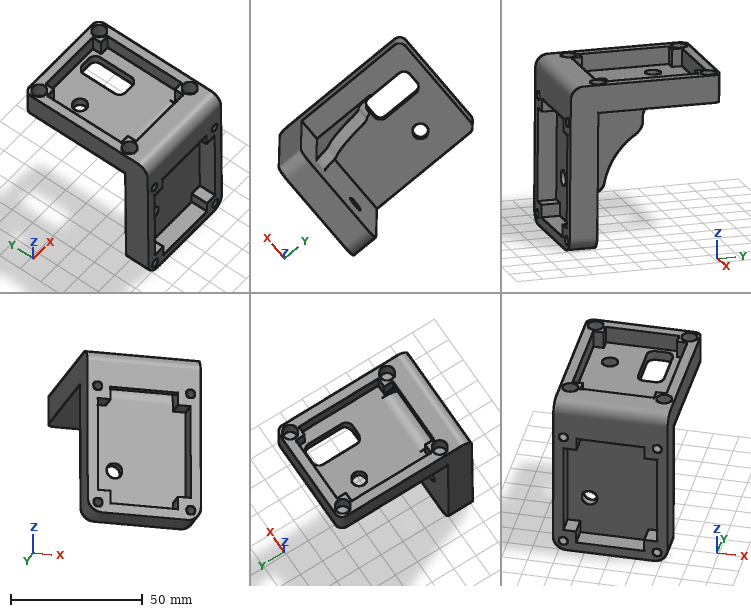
import cadquery as cq
import math


WIDTH = 44.54
TOP_LENGTH = 60.0
FRONT_HEIGHT = 66.0
THICKNESS = 11.0
TILT_ANGLE = -0.46
OUTER_BEND_RADIUS = 5.0
TOP_CORNER_RADIUS = 3.0
FRONT_CORNER_RADIUS = 5.5

BORDER = 4.0
POCKET_WIDTH = 36.5
TOP_POCKET_LENGTH = 44.0
TOP_POCKET_DEPTH = 7.0
TOP_POST = 4.0
TOP_SCREW_DIAMETER = 6.0
FRONT_POCKET_HEIGHT = 47.0
FRONT_POCKET_DEPTH = 7.5
FRONT_POST = 5.0
FRONT_SCREW_DIAMETER = 3.45
TOP_POCKET_Y = TOP_LENGTH - BORDER - TOP_POCKET_LENGTH / 2
FRONT_POCKET_Z = -FRONT_HEIGHT + BORDER + FRONT_POCKET_HEIGHT / 2

CABLE_HOLE_DIAMETER = 6.0
CABLE_HOLE_X = -9.75
TOP_CABLE_HOLE_Y = 43.0
FRONT_CABLE_HOLE_Z = -46.0
SLOT_WIDTH = 10.0
SLOT_LENGTH = 21.0
SLOT_CORNER_RADIUS = 3.0
SLOT_X = 7.75
SLOT_Y = 43.7

DUCT_INNER_RADIUS = 10.0
DUCT_OUTER_RADIUS = 15.0
DUCT_WIDTH = POCKET_WIDTH - 2 * FRONT_POST

RIB_THICKNESS = 5.0
RIB_X_MAX = DUCT_WIDTH / 2
RIB_EMBED = 0.5
RIB_TIP_RADIUS = 6.0
RIB_NOSE_Y = 31.7
RIB_NOSE_END_Z = -19.6
RIB_SHOULDER = (28.2, -24.1)
RIB_SHOULDER_MID = (30.5, -22.1)
RIB_HOLLOW_MID = (21.2, -31.0)
RIB_HOLLOW_END = (16.5, -42.3)
RIB_KNEE_MID = (15.5, -44.1)
RIB_KNEE_END = (14.0, -45.3)
RIB_TAIL_MID = (12.2, -47.1)
RIB_TAIL_Z = -49.7


def box_between(x_range, y_range, z_range):
    """Axis-aligned box given by its limits along each axis."""
    size = [high - low for low, high in (x_range, y_range, z_range)]
    corner = (x_range[0], y_range[0], z_range[0])
    return cq.Workplane("XY").box(*size, centered=False).translate(corner)


def make_plates():
    """The two solid plates with the rounded bend and rounded free corners."""
    half_width = WIDTH / 2
    x_range = (-half_width, half_width)
    top = box_between(x_range, (0, TOP_LENGTH), (-THICKNESS, 0))
    top = top.edges("|Z and >Y").fillet(TOP_CORNER_RADIUS)
    front = box_between(x_range, (0, THICKNESS), (-FRONT_HEIGHT, 0))
    front = front.edges("|Y and <Z").fillet(FRONT_CORNER_RADIUS)
    plates = top.union(front)
    outer_bend = cq.selectors.NearestToPointSelector((0, 0, 0))
    return plates.edges(outer_bend).fillet(OUTER_BEND_RADIUS)


def make_rib():
    """Scrolled rib: a rounded tip, a nose, a long hollow, a knee and a tail."""
    tip_y = RIB_NOSE_Y + RIB_TIP_RADIUS
    tip_z = -THICKNESS - RIB_TIP_RADIUS
    arc_reach = RIB_TIP_RADIUS * math.sqrt(0.5)
    tip_mid = (tip_y - arc_reach, tip_z + arc_reach)
    root = THICKNESS - RIB_EMBED
    return (
        cq.Workplane("YZ", origin=(RIB_X_MAX - RIB_THICKNESS, 0, 0))
        .moveTo(root, -root)
        .lineTo(tip_y, -root)
        .lineTo(tip_y, -THICKNESS)
        .threePointArc(tip_mid, (RIB_NOSE_Y, tip_z))
        .lineTo(RIB_NOSE_Y, RIB_NOSE_END_Z)
        .threePointArc(RIB_SHOULDER_MID, RIB_SHOULDER)
        .threePointArc(RIB_HOLLOW_MID, RIB_HOLLOW_END)
        .threePointArc(RIB_KNEE_MID, RIB_KNEE_END)
        .threePointArc(RIB_TAIL_MID, (THICKNESS, RIB_TAIL_Z))
        .lineTo(root, RIB_TAIL_Z)
        .close()
        .extrude(RIB_THICKNESS)
    )


def make_pocket(plane, length, depth, post, screw_diameter):
    """Rectangular pocket with square corner posts, plus a blind screw hole in each post."""
    full = plane.rect(POCKET_WIDTH, length).extrude(-depth)
    posts = plane.rect(POCKET_WIDTH, length, forConstruction=True).vertices()
    posts = posts.rect(2 * post, 2 * post).extrude(-depth)
    screws = plane.rect(POCKET_WIDTH, length, forConstruction=True).vertices()
    screws = screws.circle(screw_diameter / 2).extrude(-depth)
    return full.cut(posts).union(screws)


def make_duct():
    """Quarter-ring passage, tangent on its inner side to both pocket floors."""
    center_y = FRONT_POCKET_DEPTH + DUCT_INNER_RADIUS
    center_z = -TOP_POCKET_DEPTH - DUCT_INNER_RADIUS
    half_width = DUCT_WIDTH / 2
    ring = (
        cq.Workplane("YZ", origin=(-half_width, center_y, center_z))
        .circle(DUCT_OUTER_RADIUS)
        .circle(DUCT_INNER_RADIUS)
        .extrude(DUCT_WIDTH)
    )
    quarter = box_between(
        (-half_width, half_width),
        (center_y - DUCT_OUTER_RADIUS, center_y),
        (center_z, center_z + DUCT_OUTER_RADIUS),
    )
    return ring.intersect(quarter)


def make_floor_openings():
    """Cable hole in each plate and the rounded slot in the top plate."""
    radius = CABLE_HOLE_DIAMETER / 2
    top_hole = cq.Workplane("XY").center(CABLE_HOLE_X, TOP_CABLE_HOLE_Y).circle(radius).extrude(-THICKNESS)
    front_hole = cq.Workplane("XZ").center(CABLE_HOLE_X, FRONT_CABLE_HOLE_Z).circle(radius).extrude(-THICKNESS)
    slot = (
        cq.Workplane("XY")
        .center(SLOT_X, SLOT_Y)
        .rect(SLOT_WIDTH, SLOT_LENGTH)
        .extrude(-FRONT_HEIGHT)
        .edges("|Z")
        .fillet(SLOT_CORNER_RADIUS)
    )
    return top_hole.union(front_hole).union(slot)


top_pocket = make_pocket(
    cq.Workplane("XY", origin=(0, TOP_POCKET_Y, 0)),
    TOP_POCKET_LENGTH, TOP_POCKET_DEPTH, TOP_POST, TOP_SCREW_DIAMETER,
)
front_pocket = make_pocket(
    cq.Workplane("XZ", origin=(0, 0, FRONT_POCKET_Z)),
    FRONT_POCKET_HEIGHT, FRONT_POCKET_DEPTH, FRONT_POST, FRONT_SCREW_DIAMETER,
)

bracket = make_plates().union(make_rib())
for cutter in (top_pocket, front_pocket, make_duct(), make_floor_openings()):
    bracket = bracket.cut(cutter)

result = bracket.rotate((0, 0, 0), (1, 0, 0), TILT_ANGLE)